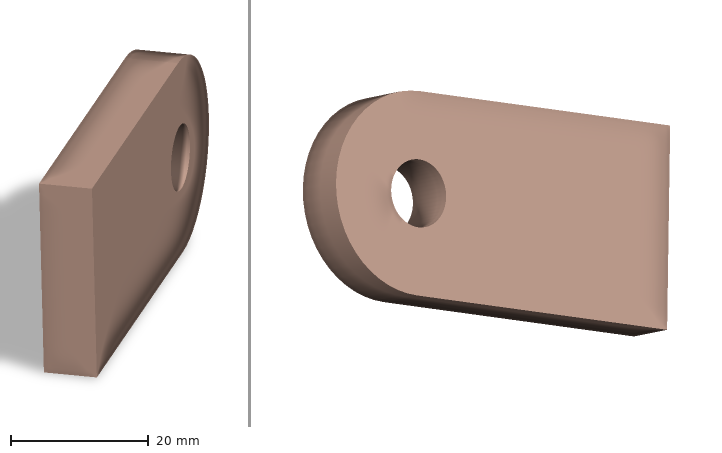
import cadquery as cq
import math

outer_length = 60.6
thickness = 8.0
width = 30.05
hole_diameter = 10.0

tilt_about_y = -1.4
tilt_about_z = 0.7

end_radius = width / 2

sin_y = math.sin(math.radians(abs(tilt_about_y)))
cos_y = math.cos(math.radians(tilt_about_y))
sin_z = math.sin(math.radians(tilt_about_z))
cos_z = math.cos(math.radians(tilt_about_z))
half_thickness_reach = thickness / 2 * cos_y * sin_z
round_end_reach = half_thickness_reach + end_radius * math.hypot(cos_z, sin_y * sin_z)
square_end_offset = half_thickness_reach + end_radius * sin_y * sin_z
straight_length = (outer_length - round_end_reach - square_end_offset) / cos_z

plate = (
    cq.Workplane("YZ")
    .moveTo(-straight_length, -end_radius)
    .lineTo(0, -end_radius)
    .threePointArc((end_radius, 0), (0, end_radius))
    .lineTo(-straight_length, end_radius)
    .close()
    .extrude(thickness / 2, both=True)
)

hole = cq.Workplane("YZ").circle(hole_diameter / 2).extrude(thickness, both=True)

result = (
    plate.cut(hole)
    .rotate((0, 0, 0), (0, 1, 0), tilt_about_y)
    .rotate((0, 0, 0), (0, 0, 1), tilt_about_z)
)